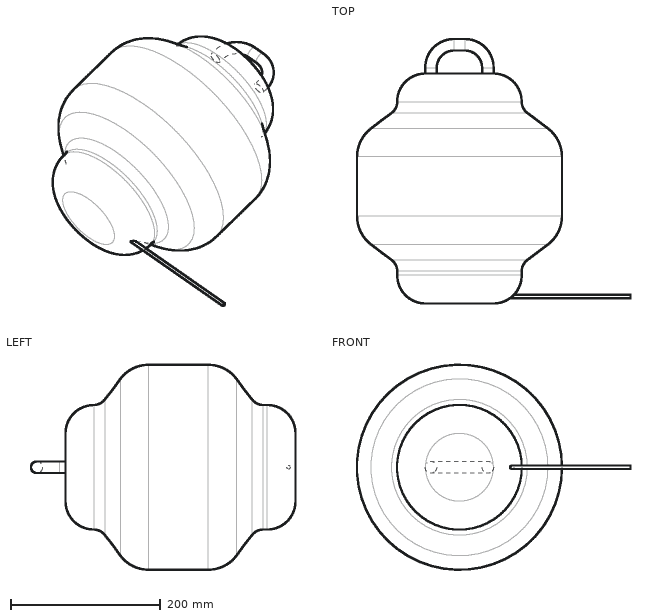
import cadquery as cq
import math

body_radius = 137.5
neck_radius = 83.7
total_length = 308.7
cap_rounding = 38.0
base_cap_length = 43.7
top_cap_length = 38.0
neck_fillet = 18.5
shoulder_rounding = 47.7
cone_angle = math.radians(53)

loop_width = 76.5
loop_height = 355.0
loop_tube_diameter = 15.8
loop_bend_radius = 31.0
leg_embed = 7.5

cable_diameter = 4.8
cable_height = 9.5
cable_start = 44.0
cable_end = 229.5


def arc_offset(radius, angle):
    """Return the radial and axial travel of an arc that starts parallel to the axis."""
    return radius * (1 - math.cos(angle)), radius * math.sin(angle)


def shoulder_points():
    """Points from neck to full radius, as (radius, distance from the neck end)."""
    neck_mid = arc_offset(neck_fillet, cone_angle / 2)
    neck_end = arc_offset(neck_fillet, cone_angle)
    round_mid = arc_offset(shoulder_rounding, cone_angle / 2)
    round_end = arc_offset(shoulder_rounding, cone_angle)
    cone_rise = body_radius - neck_radius - neck_end[0] - round_end[0]
    length = neck_end[1] + cone_rise / math.tan(cone_angle) + round_end[1]
    return [
        (neck_radius, 0),
        (neck_radius + neck_mid[0], neck_mid[1]),
        (neck_radius + neck_end[0], neck_end[1]),
        (body_radius - round_end[0], length - round_end[1]),
        (body_radius - round_mid[0], length - round_mid[1]),
        (body_radius, length),
    ]


def make_body():
    """Revolve the two caps, the sloping shoulders and the cylindrical middle."""
    top_neck = total_length - top_cap_length
    shoulder = shoulder_points()
    lower = [(r, base_cap_length + d) for r, d in shoulder]
    upper = [(r, top_neck - d) for r, d in reversed(shoulder)]
    flat_radius = neck_radius - cap_rounding
    cap_mid_radius = flat_radius + cap_rounding * math.sin(math.pi / 4)
    cap_mid_depth = cap_rounding * (1 - math.cos(math.pi / 4))
    profile = (
        cq.Workplane("XY")
        .lineTo(flat_radius, 0)
        .threePointArc((cap_mid_radius, cap_mid_depth), (neck_radius, cap_rounding))
        .lineTo(*lower[0])
        .threePointArc(lower[1], lower[2])
        .lineTo(*lower[3])
        .threePointArc(lower[4], lower[5])
        .lineTo(*upper[0])
        .threePointArc(upper[1], upper[2])
        .lineTo(*upper[3])
        .threePointArc(upper[4], upper[5])
        .threePointArc((cap_mid_radius, total_length - cap_mid_depth), (flat_radius, total_length))
        .lineTo(0, total_length)
        .close()
    )
    return profile.revolve(360, (0, 0, 0), (0, 1, 0))


def make_loop():
    """Sweep a round tube up one leg, over the top and down the other leg."""
    half_width = loop_width / 2
    leg_foot = total_length - leg_embed
    crown = loop_height - loop_tube_diameter / 2
    bend_start = crown - loop_bend_radius
    crown_half = half_width - loop_bend_radius
    path = (
        cq.Workplane("XY")
        .moveTo(-half_width, leg_foot)
        .lineTo(-half_width, bend_start)
        .tangentArcPoint((-crown_half, crown), relative=False)
        .lineTo(crown_half, crown)
        .tangentArcPoint((half_width, bend_start), relative=False)
        .lineTo(half_width, leg_foot)
    )
    foot_plane = cq.Plane(origin=(-half_width, leg_foot, 0), xDir=(1, 0, 0), normal=(0, 1, 0))
    return cq.Workplane(foot_plane).circle(loop_tube_diameter / 2).sweep(path)


def make_cable():
    """Straight round cable, its inner end buried in the base cap."""
    cable_plane = cq.Plane(origin=(cable_start, cable_height, 0), xDir=(0, 1, 0), normal=(1, 0, 0))
    return cq.Workplane(cable_plane).circle(cable_diameter / 2).extrude(cable_end - cable_start)


result = make_body().union(make_loop()).union(make_cable())